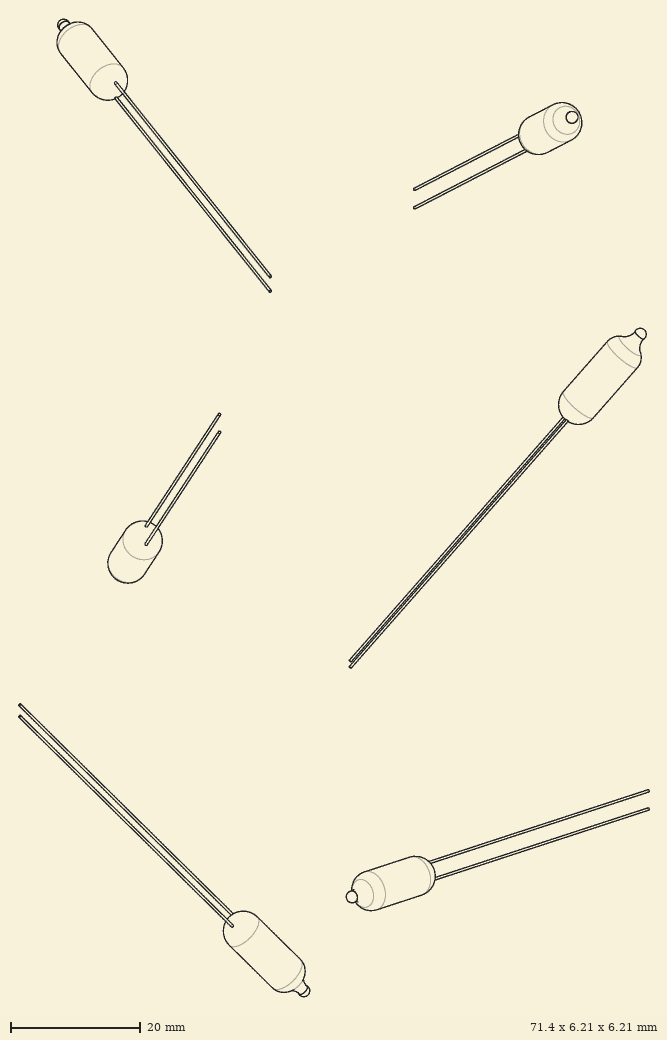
import cadquery as cq
import math

total_length = 71.4

bulb_radius = 3.105
bulb_end_x = 19.05
dome_start_x = bulb_end_x - bulb_radius
shoulder_end_x = 5.2
shoulder_start_x = 3.4
shoulder_start_radius = 2.2

tip_radius = 0.9
tip_length = 1.15
neck_start_radius = 0.85

lead_diameter = 0.415
lead_pitch = 2.9
lead_embed_x = dome_start_x


def tangent_arc_midpoint(tangent_point, other_point):
    """Midpoint of an arc that runs parallel to X at tangent_point and ends at other_point."""
    dx = other_point[0] - tangent_point[0]
    dr = other_point[1] - tangent_point[1]
    arc_radius = (dx**2 + dr**2) / (2 * abs(dr))
    half_angle = math.atan2(abs(dr), abs(dx))
    return (
        tangent_point[0] + math.copysign(arc_radius * math.sin(half_angle), dx),
        tangent_point[1] + math.copysign(arc_radius * (1 - math.cos(half_angle)), dr),
    )


def make_envelope():
    """Solid of revolution about X: rounded tip, flared neck, shoulder, cylinder and dome."""
    tip_edge = (tip_length, tip_radius)
    neck_start = (tip_length, neck_start_radius)
    shoulder_start = (shoulder_start_x, shoulder_start_radius)
    shoulder_end = (shoulder_end_x, bulb_radius)
    dome_mid = (
        dome_start_x + bulb_radius * math.sin(math.pi / 4),
        bulb_radius * math.cos(math.pi / 4),
    )
    tip_sphere_radius = (tip_length**2 + tip_radius**2) / (2 * tip_length)
    tip_half_angle = math.atan2(tip_radius, tip_sphere_radius - tip_length) / 2
    tip_mid = (
        tip_sphere_radius * (1 - math.cos(tip_half_angle)),
        tip_sphere_radius * math.sin(tip_half_angle),
    )
    profile = (
        cq.Workplane("XZ")
        .moveTo(0, 0)
        .threePointArc(tip_mid, tip_edge)
        .lineTo(*neck_start)
        .threePointArc(tangent_arc_midpoint(neck_start, shoulder_start), shoulder_start)
        .threePointArc(tangent_arc_midpoint(shoulder_end, shoulder_start), shoulder_end)
        .lineTo(dome_start_x, bulb_radius)
        .threePointArc(dome_mid, (bulb_end_x, 0))
        .close()
    )
    return profile.revolve(360, (0, 0, 0), (1, 0, 0))


def make_leads():
    """Two parallel round wires, one above the other, starting inside the dome."""
    return (
        cq.Workplane("YZ", origin=(lead_embed_x, 0, 0))
        .pushPoints([(0, -lead_pitch / 2), (0, lead_pitch / 2)])
        .circle(lead_diameter / 2)
        .extrude(total_length - lead_embed_x)
    )


result = make_envelope().union(make_leads())